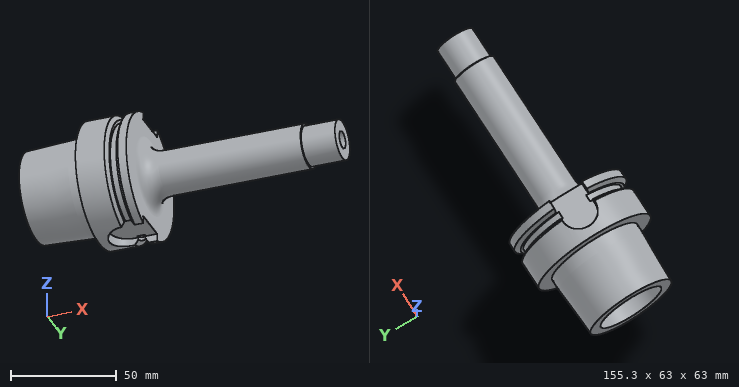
import cadquery as cq
import math

total_length = 155.3
taper_end = 25.5
flange_start = 32.0
flange_end = 57.8
tip_start = 138.2

taper_small_radius = 22.8
taper_large_radius = 24.0
flange_radius = 31.5
stem_radius = 11.0
tip_radius = 10.0
stem_fillet = 8.4

groove_start = 48.1
groove_end = 51.7
groove_floor_radius = 27.5
groove_wall_radius = 29.0
groove_front_chamfer = 1.5
groove_back_chamfer = 1.7

socket_radius = 17.1
socket_depth = flange_start
coolant_hole_radius = 4.2

keyway_width = 18.2
keyway_start = 37.1
keyway_floor = 26.4


def revolved_body():
    fillet_middle = stem_fillet * (1 - math.sqrt(0.5))
    profile = (
        cq.Workplane("XY")
        .moveTo(0, 0)
        .lineTo(0, taper_small_radius)
        .lineTo(taper_end, taper_large_radius)
        .lineTo(flange_start, taper_large_radius)
        .lineTo(flange_start, flange_radius)
        .lineTo(groove_start - groove_front_chamfer, flange_radius)
        .lineTo(groove_start, groove_wall_radius)
        .lineTo(groove_start, groove_floor_radius)
        .lineTo(groove_end, groove_floor_radius)
        .lineTo(groove_end, groove_wall_radius)
        .lineTo(groove_end + groove_back_chamfer, flange_radius)
        .lineTo(flange_end, flange_radius)
        .lineTo(flange_end, stem_radius + stem_fillet)
        .threePointArc(
            (flange_end + fillet_middle, stem_radius + fillet_middle),
            (flange_end + stem_fillet, stem_radius),
        )
        .lineTo(tip_start, stem_radius)
        .lineTo(tip_start, tip_radius)
        .lineTo(total_length, tip_radius)
        .lineTo(total_length, 0)
        .close()
    )
    return profile.revolve(360, (0, 0, 0), (1, 0, 0))


def bore(radius, depth):
    return cq.Workplane("YZ").circle(radius).extrude(depth)


def keyway():
    half_width = keyway_width / 2
    arc_center = keyway_start + half_width
    return (
        cq.Workplane("XY", origin=(0, 0, keyway_floor))
        .moveTo(flange_end, -half_width)
        .lineTo(arc_center, -half_width)
        .threePointArc((keyway_start, 0), (arc_center, half_width))
        .lineTo(flange_end, half_width)
        .close()
        .extrude(flange_radius - keyway_floor)
    )


result = revolved_body()
result = result.cut(bore(socket_radius, socket_depth))
result = result.cut(bore(coolant_hole_radius, total_length))
for side_angle in (0, 180):
    result = result.cut(keyway().rotate((0, 0, 0), (1, 0, 0), side_angle))